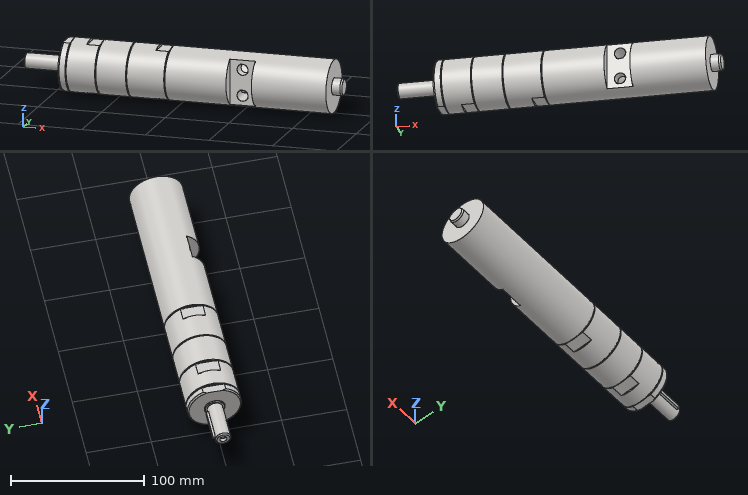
import cadquery as cq
import math

cut_margin = 1.0

shaft_dia = 12.0
shaft_chamfer = 1.0
center_hole_dia = 3.24
center_hole_depth = 10.0
countersink_dia = 5.3
countersink_angle = 60.0
drill_point_angle = 118.0

key_length = 25.0
key_width = 4.0
key_start = 3.0
key_protrusion = 1.5

collar_start = 30.5
collar_tip_dia = 14.95
collar_dia = 16.0

body_dia = 41.5
body_start = 31.3
body_face_dia = 39.5
body_chamfer_length = 1.2
body_end = 242.2

front_groove = 37.2
second_groove = 60.5
third_groove = 84.8
rear_groove = 114.8
groove_starts = [front_groove, second_groove, third_groove, rear_groove]
groove_dia = 39.0
groove_width = 0.7

across_flats = 37.7
flat_spans = [(body_start, front_groove), (50.7, second_groove), (105.0, rear_groove)]

pocket_start = 163.7
pocket_length = 20.0
pocket_floor = 11.0
port_dia = 8.57
port_spacing = 20.2
core_dia = 25.5
core_center_y = 8.0
port_bottom_y = 9.0

overall_length = 250.2
stub_dia = 13.0
stub_chamfer_length = 1.5
stub_chamfer_depth = 0.5


def cylinder(start, length, diameter):
    """Solid cylinder on the X axis."""
    return cq.Workplane("YZ", origin=(start, 0, 0)).circle(diameter / 2).extrude(length)


def revolve_about_x(outline):
    """Solid of revolution from (station, radius) points."""
    return cq.Workplane("XY").polyline(outline).close().revolve(360, (0, 0, 0), (1, 0, 0))


def make_turned_body():
    """Shaft, collar, body and stub as one revolved outline."""
    outline = [
        (0, 0),
        (0, shaft_dia / 2 - shaft_chamfer),
        (shaft_chamfer, shaft_dia / 2),
        (collar_start, shaft_dia / 2),
        (collar_start, collar_tip_dia / 2),
        (body_start, collar_dia / 2),
        (body_start, body_face_dia / 2),
        (body_start + body_chamfer_length, body_dia / 2),
        (body_end, body_dia / 2),
        (body_end, stub_dia / 2),
        (overall_length - stub_chamfer_length, stub_dia / 2),
        (overall_length, stub_dia / 2 - stub_chamfer_depth),
        (overall_length, 0),
    ]
    return revolve_about_x(outline)


def add_key(part):
    """Round-ended key lying in the XZ plane, standing out of the shaft toward +Y."""
    key_top = shaft_dia / 2 + key_protrusion
    key = (
        cq.Workplane("XZ")
        .center(key_start + key_length / 2, 0)
        .slot2D(key_length, key_width)
        .extrude(-key_top)
    )
    return part.union(key)


def cone_height(radial_step, full_angle):
    """Axial length of a cone that changes radius by radial_step."""
    return radial_step / math.tan(math.radians(full_angle / 2))


def cut_center_hole(part):
    """Countersunk hole with a conical drill point in the tip of the shaft."""
    hole_radius = center_hole_dia / 2
    countersink_radius = countersink_dia / 2
    countersink_depth = cone_height(countersink_radius - hole_radius, countersink_angle)
    point_depth = center_hole_depth + cone_height(hole_radius, drill_point_angle)
    outline = [
        (0, 0),
        (0, countersink_radius),
        (countersink_depth, hole_radius),
        (center_hole_depth, hole_radius),
        (point_depth, 0),
    ]
    return part.cut(revolve_about_x(outline))


def cut_flats(part):
    """Pairs of parallel wrench flats above and below the axis."""
    for start, end in flat_spans:
        for side in (1, -1):
            block = cq.Workplane("XY").box(end - start, body_dia, body_dia)
            center_z = side * (across_flats + body_dia) / 2
            part = part.cut(block.translate(((start + end) / 2, 0, center_z)))
    return part


def cut_grooves(part):
    """Shallow ring grooves where the body sections meet."""
    for start in groove_starts:
        outer = cylinder(start, groove_width, body_dia + 2 * cut_margin)
        part = part.cut(outer.cut(cylinder(start, groove_width, groove_dia)))
    return part


def cut_pocket_and_ports(part):
    """Flat-floored pocket, and round ports ending on a rounded core."""
    pocket_center_x = pocket_start + pocket_length / 2
    pocket = (
        cq.Workplane("XZ", origin=(pocket_center_x, -pocket_floor, 0))
        .rect(pocket_length, body_dia)
        .extrude(body_dia / 2)
    )
    ports = (
        cq.Workplane("XZ", origin=(pocket_center_x, -pocket_floor, 0))
        .pushPoints([(0, port_spacing / 2), (0, -port_spacing / 2)])
        .circle(port_dia / 2)
        .extrude(-(pocket_floor + port_bottom_y))
    )
    core = cylinder(pocket_start, pocket_length, core_dia).translate((0, core_center_y, 0))
    return part.cut(pocket).cut(ports.cut(core))


result = make_turned_body()
result = add_key(result)
result = cut_center_hole(result)
result = cut_flats(result)
result = cut_grooves(result)
result = cut_pocket_and_ports(result)